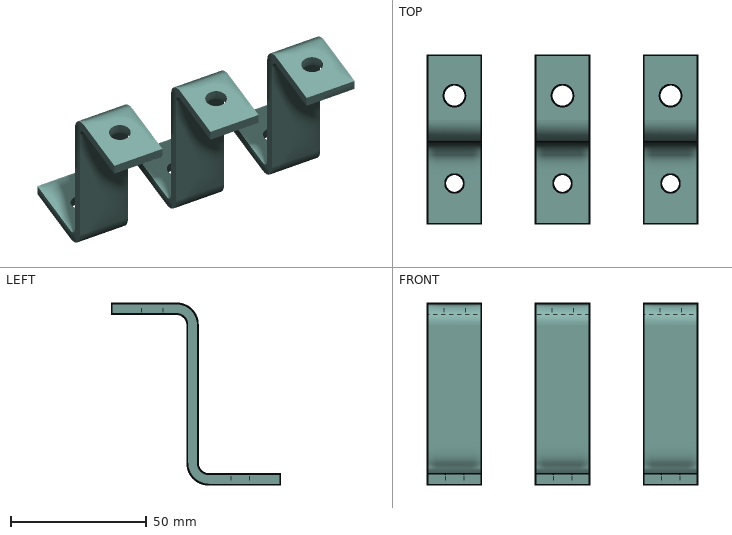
import cadquery as cq

strip_width = 20.0
thickness = 4.0
inner_radius = 4.0
outer_radius = inner_radius + thickness

height = 67.2
top_leg = 32.0
bottom_leg = 34.5
depth = top_leg + bottom_leg - thickness

top_hole_diameter = 8.0
bottom_hole_diameter = 6.8
hole_end_distance = 15.0

bracket_count = 3
bracket_pitch = 40.0

front_end = -depth / 2
back_end = depth / 2
web_front = back_end - top_leg
web_back = web_front + thickness
row_start = -(bracket_count - 1) * bracket_pitch / 2


def bent_strip():
    """Z-shaped strip centred on X = 0, with its top leg toward +Y."""
    outline = (
        cq.Workplane("YZ")
        .moveTo(front_end, 0)
        .lineTo(web_back, 0)
        .lineTo(web_back, height - thickness)
        .lineTo(back_end, height - thickness)
        .lineTo(back_end, height)
        .lineTo(web_front, height)
        .lineTo(web_front, thickness)
        .lineTo(front_end, thickness)
        .close()
    )
    return outline.extrude(strip_width / 2, both=True)


def edge_at(y, z):
    """Selector for the bend edge that runs along X at the given Y and Z."""
    return cq.selectors.NearestToPointSelector((0, y, z))


def round_bends(strip):
    """Round both bends concentrically so the strip keeps its thickness."""
    for y, z in [(web_back, 0), (web_front, height)]:
        strip = strip.edges("|X").edges(edge_at(y, z)).fillet(outer_radius)
    for y, z in [(web_front, thickness), (web_back, height - thickness)]:
        strip = strip.edges("|X").edges(edge_at(y, z)).fillet(inner_radius)
    return strip


def leg_hole(y, leg_bottom, diameter):
    """Cutter that passes through the thickness of one leg."""
    return (
        cq.Workplane("XY", origin=(0, y, leg_bottom))
        .circle(diameter / 2)
        .extrude(thickness)
    )


def make_bracket():
    """One bracket with a hole in each leg."""
    top_hole = leg_hole(back_end - hole_end_distance, height - thickness, top_hole_diameter)
    bottom_hole = leg_hole(front_end + hole_end_distance, 0, bottom_hole_diameter)
    return round_bends(bent_strip()).cut(top_hole).cut(bottom_hole)


brackets = [
    make_bracket().translate((row_start + index * bracket_pitch, 0, 0))
    for index in range(bracket_count)
]

result = cq.Compound.makeCompound([bracket.val() for bracket in brackets])